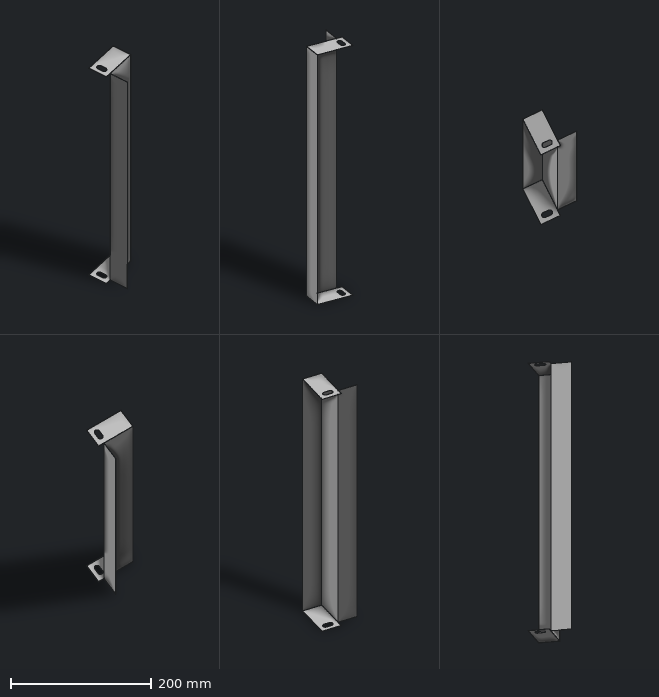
import cadquery as cq

width = 62.0
depth = 59.0
height = 401.5

sheet = 0.12
channel_width = 31.5
flange_front = 9.2

slot_length = 15.5
slot_width = 7.2
slot_x = 15.3
slot_y = 11.0


def panel(x_start, x_end, y_start, y_end, z_start=0, z_end=height):
    """Flat rectangular sheet between the given limits."""
    size = (x_end - x_start, y_end - y_start, z_end - z_start)
    return cq.Workplane("XY").box(*size, centered=False).translate((x_start, y_start, z_start))


def end_tab(z_start):
    """Horizontal end plate, reaching forward past the flange."""
    return panel(0, channel_width, 0, depth, z_start, z_start + sheet)


back_wall = panel(0, channel_width, depth - sheet, depth)
web = panel(channel_width - sheet, channel_width, flange_front, depth)
flange = panel(channel_width - sheet, width, flange_front, flange_front + sheet)

slots = (
    cq.Workplane("XY")
    .center(slot_x, slot_y)
    .slot2D(slot_length, slot_width)
    .extrude(height)
)

result = (
    back_wall.union(web)
    .union(flange)
    .union(end_tab(0))
    .union(end_tab(height - sheet))
    .cut(slots)
)